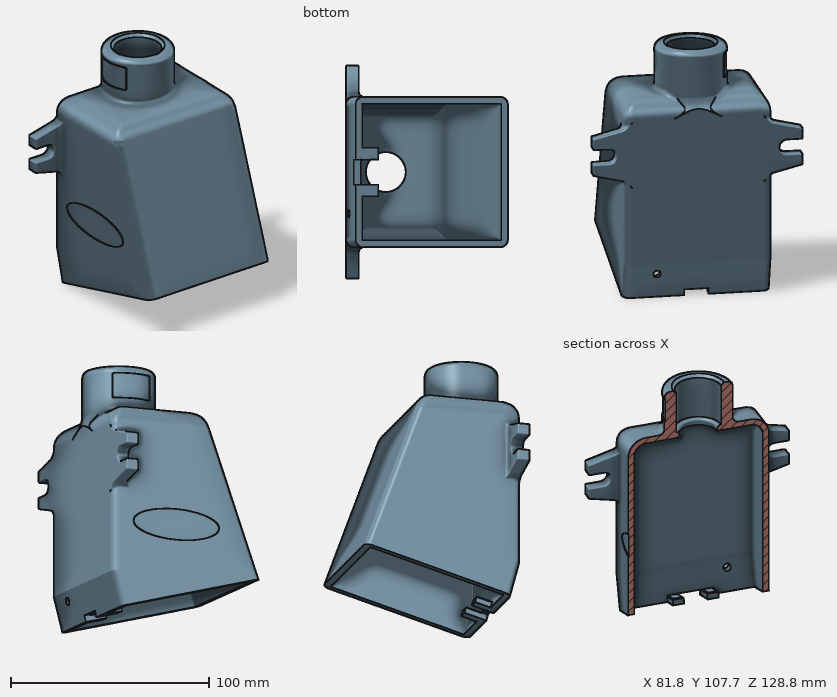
import math

import cadquery as cq

body_depth = 81.79
body_width = 75.9
body_top = 104.7
wall = 3.5
rear_bend_height = 18.1
rim_tilt = math.radians(15)
front_tilt = math.radians(20)
edge_radius = 4.0
roof_radius = 10.0

boss_x = 20.1
boss_diameter = 37.0
boss_top = 128.78
boss_edge_radius = 3.3
boss_root_radius = 3.0
bore_diameter = 24.0
bore_chamfer = 1.6
passage_diameter = 20.0

flare_mid_radius = 20.0
flare_mid_drop = 5.2
flare_end_radius = 23.4
flare_end_drop = roof_radius

label_width = 20.8
label_bottom = 112.0
label_top = 124.8
label_depth = 0.5
label_corner_radius = 1.0

ear_span = 107.7
ear_thickness = 6.5
ear_height = 76.5
ear_tip_half_height = 9.7
ear_root_half_height = 14.5
ear_root_radius = 2.6
ear_edge_radius = 0.8
slot_width = 7.5
slot_inner_end = 42.0

oval_x = 34.8
oval_z = 44.5
oval_length = 47.4
oval_height = 15.9
oval_depth = 0.3

notch_width = 12.6
notch_height = 3.4
drain_diameter = 3.8
drain_y = 20.9
drain_z = 13.0
lug_inner_face = 16.4
lug_width = 6.0
lug_chamfer = 0.5

margin = 1.0
fine_margin = 0.1

rim_rear_x = rear_bend_height * math.tan(rim_tilt)
rim_length = (body_depth - rim_rear_x) / math.cos(rim_tilt)


def block(inset):
    """Body shape moved inward by inset on all sides but the open rim."""
    rear_bend = (inset, rear_bend_height + inset * math.tan(rim_tilt / 2))
    rim_rear = (rim_rear_x + inset * math.cos(rim_tilt), inset * math.sin(rim_tilt))
    rim_run = rim_length - inset / math.cos(front_tilt - rim_tilt)
    rim_front = (rim_rear_x + rim_run * math.cos(rim_tilt), rim_run * math.sin(rim_tilt))
    roof_z = body_top - inset
    roof_front_x = rim_front[0] - (roof_z - rim_front[1]) * math.tan(front_tilt)
    outline = [rear_bend, rim_rear, rim_front, (roof_front_x, roof_z), (inset, roof_z)]
    half_width = body_width / 2 - inset
    return cq.Workplane("XZ").polyline(outline).close().extrude(half_width, both=True)


def rounded_block(inset):
    """Block with rounded roof edges and rounded upright corners."""
    rear_lower = cq.Vector(math.sin(rim_tilt), 0, -math.cos(rim_tilt))
    front = cq.Vector(-math.sin(front_tilt), 0, math.cos(front_tilt))
    solid = block(inset).faces(">Z").edges().fillet(roof_radius - inset)
    corners = solid.edges("|Z")
    for direction in (rear_lower, front):
        corners = corners.add(solid.edges(cq.selectors.ParallelDirSelector(direction)))
    return corners.fillet(edge_radius - inset)


def vertical_cylinder(diameter, bottom, top):
    """Cylinder on the boss axis between two heights."""
    return cq.Workplane("XY", origin=(boss_x, 0, bottom)).circle(diameter / 2).extrude(top - bottom)


def ear_plate():
    """Plate along the rear wall whose two ends are the slotted ears."""
    tip = ear_span / 2
    root = body_width / 2 - edge_radius
    outline = [
        (-tip, -ear_tip_half_height),
        (-root, -ear_root_half_height),
        (root, -ear_root_half_height),
        (tip, -ear_tip_half_height),
        (tip, ear_tip_half_height),
        (root, ear_root_half_height),
        (-root, ear_root_half_height),
        (-tip, ear_tip_half_height),
    ]
    plane = cq.Workplane("YZ", origin=(0, 0, ear_height))
    plate = plane.polyline(outline).close().extrude(ear_thickness)
    slot_length = 2 * (tip - slot_inner_end)
    slots = plane.pushPoints([(-tip, 0), (tip, 0)]).slot2D(slot_length, slot_width).extrude(ear_thickness)
    return plate.cut(slots)


def ear_region(side, inner_y, outer_y, x_from, x_to):
    """Selector for edges centred between two distances from the Y = 0 plane on one side (+1 or -1)."""
    half_height = ear_root_half_height + margin
    low_corner = (x_from, side * inner_y, ear_height - half_height)
    high_corner = (x_to, side * outer_y, ear_height + half_height)
    return cq.selectors.BoxSelector(low_corner, high_corner)


def add_ears(body):
    """Join the ears to the body, then round their roots and their outlines."""
    side_wall = body_width / 2
    front = ear_thickness + margin
    flat_start = edge_radius + fine_margin
    solid = body.union(ear_plate())
    root_edges = []
    for side in (-1, 1):
        region = ear_region(side, side_wall - margin, side_wall + margin, flat_start, front)
        root_edges += solid.edges(region).vals()
    solid = solid.newObject(root_edges).fillet(ear_root_radius)

    tip = ear_span / 2
    outline_start = side_wall + ear_root_radius / 2
    tip_start = tip - ear_edge_radius / 2
    rim_edges = []
    for side in (-1, 1):
        rear_region = ear_region(side, outline_start, tip + margin, -margin, margin)
        front_region = ear_region(side, outline_start, tip + margin, ear_thickness - margin, front)
        tip_region = ear_region(side, tip_start, tip + margin, margin, ear_thickness - margin)
        for region in (rear_region, front_region, tip_region):
            rim_edges += solid.edges(region).vals()
    return solid.newObject(rim_edges).fillet(ear_edge_radius)


def add_boss(body):
    """Round boss on the roof with a flared root and a rounded upper edge."""
    boss = vertical_cylinder(boss_diameter, body_top - 2 * roof_radius, boss_top)
    boss = boss.faces(">Z").edges().fillet(boss_edge_radius)
    solid = body.union(boss)
    reach = boss_diameter / 2 + margin
    low_corner = (boss_x - reach, -reach, body_top - roof_radius + fine_margin)
    high_corner = (boss_x + reach, reach, body_top + margin)
    root_region = cq.selectors.BoxSelector(low_corner, high_corner)
    return solid.edges(root_region).fillet(boss_root_radius).union(boss_flare())


def boss_flare():
    """Curved skirt below the boss that carries it into the rear wall, kept inside the block outline."""
    boss_radius = boss_diameter / 2
    plane = cq.Workplane("XZ", origin=(boss_x, 0, 0))
    profile = plane.moveTo(0, body_top).lineTo(boss_radius, body_top)
    profile = profile.threePointArc(
        (flare_mid_radius, body_top - flare_mid_drop), (flare_end_radius, body_top - flare_end_drop)
    )
    profile = profile.lineTo(0, body_top - flare_end_drop).close()
    return profile.revolve(360, (0, 0, 0), (0, 1, 0)).intersect(block(0))


def bore():
    """Stepped bore with a chamfered mouth, narrowing over a rounded lip to the passage into the hood."""
    bore_radius = bore_diameter / 2
    mouth_radius = bore_radius + bore_chamfer
    passage_radius = passage_diameter / 2
    lip_radius = bore_radius - passage_radius
    lip_middle = lip_radius * (1 - math.sqrt(0.5))
    plane = cq.Workplane("XZ", origin=(boss_x, 0, 0))
    profile = plane.moveTo(0, body_top - 2 * wall).lineTo(passage_radius, body_top - 2 * wall)
    profile = profile.lineTo(passage_radius, body_top - lip_radius)
    profile = profile.threePointArc(
        (passage_radius + lip_middle, body_top - lip_middle), (bore_radius, body_top)
    )
    profile = profile.lineTo(bore_radius, boss_top - bore_chamfer).lineTo(mouth_radius, boss_top)
    profile = profile.lineTo(0, boss_top).close()
    return profile.revolve(360, (0, 0, 0), (0, 1, 0))


def label_recess():
    """Rounded rectangular patch of the boss surface on the -Y side, label_depth deep."""
    height = label_top - label_bottom
    sleeve = vertical_cylinder(boss_diameter + margin, label_bottom, label_top)
    sleeve = sleeve.cut(vertical_cylinder(boss_diameter - 2 * label_depth, label_bottom, label_top))
    window = cq.Workplane("XZ", origin=(boss_x, 0, label_bottom + height / 2)).rect(label_width, height)
    window = window.extrude(boss_diameter).edges("|Y").fillet(label_corner_radius)
    return sleeve.intersect(window)


def oval_recess():
    """Shallow oval sunk into the -Y side wall."""
    plane = cq.Workplane("XZ", origin=(oval_x, -body_width / 2 + oval_depth, oval_z))
    return plane.ellipse(oval_length / 2, oval_height / 2).extrude(oval_depth + margin)


def rim_box(width, height):
    """Box from outside the lower rear wall to the lug faces, with the rim lying on Z = 0."""
    depth = (lug_inner_face - rim_rear_x) / math.cos(rim_tilt)
    box = cq.Workplane("XY").box(depth + margin, width, height, centered=(False, True, False))
    return box.translate((-margin, 0, 0))


def onto_rim(shape):
    """Tilt a shape about Y and move it to the rear edge of the rim."""
    return shape.rotate((0, 0, 0), (0, 1, 0), -math.degrees(rim_tilt)).translate((rim_rear_x, 0, 0))


def lugs():
    """Pair of lugs inside the rim of the lower rear wall, one on each side of the notch."""
    offset = (notch_width + lug_width) / 2
    lug = onto_rim(rim_box(lug_width, notch_height).faces(">Z").edges().chamfer(lug_chamfer))
    return lug.translate((0, -offset, 0)).union(lug.translate((0, offset, 0)))


def notch():
    """Cut through the rim edge of the lower rear wall."""
    return onto_rim(rim_box(notch_width, notch_height + margin).translate((0, 0, -margin)))


def drain():
    """Round hole along X through the lower rear wall."""
    return cq.Workplane("YZ").center(drain_y, drain_z).circle(drain_diameter / 2).extrude(lug_inner_face)


def build():
    outside = rounded_block(0)
    solid = add_ears(add_boss(outside)).cut(rounded_block(wall))
    solid = solid.union(lugs().intersect(outside))
    for cut in (bore(), label_recess(), oval_recess(), notch(), drain()):
        solid = solid.cut(cut)
    return solid


result = build()